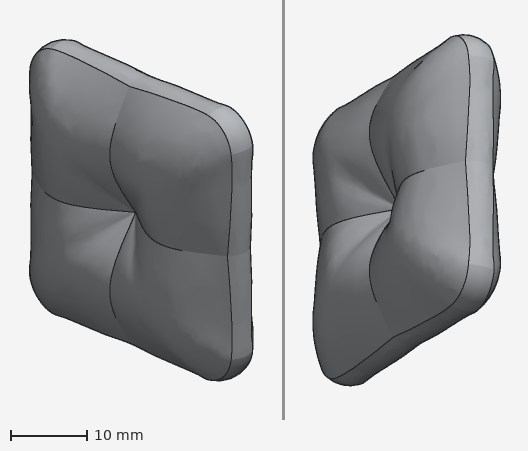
import cadquery as cq
import math


half_side = 39.15 / 2
edge_crest = 0.036
corner_side = half_side - edge_crest
corner_center = 14.1
corner_start_angle = 8.0
corner_sweep = 90 - 2 * corner_start_angle
corner_radius = (corner_side - corner_center) / math.cos(math.radians(corner_start_angle))
seam_half_side = 19.3

rim_inset = 0.48
rim_seam_dip = 0.55
rim_narrow_at = 12.0
rim_seam_y = 2.1
rim_narrow_y = 1.75
rim_corner_y = 1.97
rim_seam_slope = 0.1
outline_seam_slope = 0.05

dimple_height = 1.0
seam_profile = {"peak_at": 0.53, "peak": 5.75, "dimple_slope": 12.4, "rim_slope": -11.4}
pillow_profile = {"peak_at": 0.47, "peak": 7.15, "dimple_slope": 17.0, "rim_slope": -22.0}

ray_steps = 12
straight_steps = 12
corner_steps = 8
band_fractions = (0.2, 0.4, 0.6, 0.8)
surface_tolerance = 0.001
surface_min_degree = 3
surface_max_degree = 8
surface_smoothing = (1, 1, 1)
sewing_tolerance = 0.02


def cubic(start, end, start_slope, end_slope, length, t):
    """Cubic from start to end height with given end slopes, t running from 0 to 1."""
    blend = 3 * t**2 - 2 * t**3
    from_start = (t**3 - 2 * t**2 + t) * start_slope * length
    from_end = (t**3 - t**2) * end_slope * length
    return start * (1 - blend) + end * blend + from_start + from_end


def profile_height(s, profile, rim_height):
    """Height on the way from the dimple (s = 0) over the peak to the rim (s = 1)."""
    peak_at = profile["peak_at"]
    peak = profile["peak"]
    if s < peak_at:
        return cubic(dimple_height, peak, profile["dimple_slope"], 0, peak_at, s / peak_at)
    outer = 1 - peak_at
    return cubic(peak, rim_height, 0, profile["rim_slope"], outer, (s - peak_at) / outer)


def puff_point(s, rim_point):
    """Point of the puffed face on the ray from the dimple to a rim point.

    The seam profile swells into the fuller pillow profile towards the diagonal.
    """
    lateral = min(rim_point.x, rim_point.z) / max(rim_point.x, rim_point.z)
    fullness = 1 - (1 - lateral) ** 2
    seam = profile_height(s, seam_profile, -rim_point.y)
    pillow = profile_height(s, pillow_profile, -rim_point.y)
    height = seam + (pillow - seam) * fullness
    return cq.Vector(s * rim_point.x, -height, s * rim_point.z)


def swap_xz(point):
    """Mirror a point across the diagonal of the quarter."""
    return cq.Vector(point.z, point.y, point.x)


def opposite(point):
    """Mirror a point across the mid plane."""
    return cq.Vector(point.x, -point.y, point.z)


def spline(points, tangents):
    return cq.Edge.makeSpline(points, tangents=tangents)


def corner_point(radius, y, angle):
    """Point on the corner sweep, the angle measured from +Z towards +X."""
    turn = math.radians(angle)
    return cq.Vector(
        corner_center + radius * math.sin(turn),
        y,
        corner_center + radius * math.cos(turn),
    )


rim_radius = corner_radius - rim_inset
rim_corner = corner_point(rim_radius, -rim_corner_y, corner_start_angle)
rim_narrow = cq.Vector(rim_narrow_at, -rim_narrow_y, rim_corner.z)
rim_seam = cq.Vector(0, -rim_seam_y, rim_corner.z - rim_seam_dip)
rim_tangents = [
    cq.Vector(1, 0, rim_seam_slope),
    cq.Vector(1, 0, 0),
    cq.Vector(1, 0, -math.tan(math.radians(corner_start_angle))),
]
rim_top = spline([rim_seam, rim_narrow, rim_corner], rim_tangents)
rim_arc = cq.Edge.makeThreePointArc(
    rim_corner,
    corner_point(rim_radius, -rim_corner_y, 45),
    swap_xz(rim_corner),
)


def make_puff():
    """Puffed face of the quarter, fanning out from the dimple to the rim."""
    straight_fractions = [i / straight_steps for i in range(straight_steps + 1)]
    corner_fractions = [i / corner_steps for i in range(1, corner_steps)]
    straight_points = [rim_top.positionAt(f) for f in straight_fractions]
    corner_points = [rim_arc.positionAt(f) for f in corner_fractions]
    side_points = [swap_xz(point) for point in reversed(straight_points)]
    rim_samples = straight_points + corner_points + side_points
    ray_fractions = [i / ray_steps for i in range(ray_steps + 1)]
    rays = [[puff_point(s, rim_point) for s in ray_fractions] for rim_point in rim_samples]
    return cq.Face.makeSplineApprox(
        rays,
        tol=surface_tolerance,
        smoothing=surface_smoothing,
        minDeg=surface_min_degree,
        maxDeg=surface_max_degree,
    )


seam_outer = cq.Vector(0, 0, seam_half_side)
corner_outer = corner_point(corner_radius, 0, corner_start_angle)
seam_arc = cq.Edge.makeThreePointArc(rim_seam, seam_outer, opposite(rim_seam))
corner_arc = cq.Edge.makeThreePointArc(rim_corner, corner_outer, opposite(rim_corner))


def make_band():
    """Rounded edge band along the straight top side of the quarter."""
    outline = spline(
        [seam_outer, corner_outer],
        [cq.Vector(1, 0, outline_seam_slope), cq.Vector(1, 0, 0)],
    )
    boundary = [seam_arc, rim_top, corner_arc, rim_top.mirror("XZ")]
    return cq.Face.makeNSidedSurface(boundary, [outline.positionAt(f) for f in band_fractions])


def make_corner():
    """Rounded edge band turned around the corner."""
    axis_point = cq.Vector(corner_center, 0, corner_center)
    return cq.occ_impl.shapes.revolve(corner_arc, axis_point, cq.Vector(0, 1, 0), corner_sweep)


puff = make_puff()
band = make_band()
band_side = band.rotate(cq.Vector(0, 0, 0), cq.Vector(1, 0, 1), 180)
faces = [puff, puff.mirror("XZ"), band, band_side, make_corner()]
for seam_plane in ("YZ", "XY"):
    faces += [face.mirror(seam_plane) for face in faces]

cushion_shell = cq.occ_impl.shapes.shell(*faces, tol=sewing_tolerance)
result = cq.Workplane("XY").add(cq.Solid.makeSolid(cushion_shell).fix())